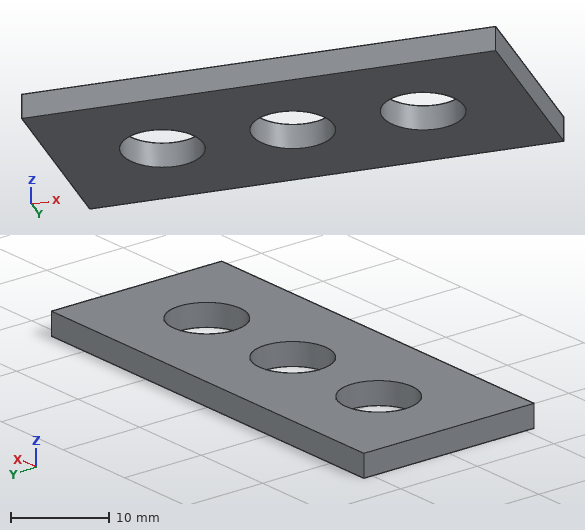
import cadquery as cq

length = 50.8
width = 22.25
thickness = 2.75

hole_count = 3
hole_diameter = 8.75
hole_pitch = 13.95

plate = cq.Workplane("XY").box(length, width, thickness)

result = (
    plate.faces(">Z")
    .workplane()
    .rarray(hole_pitch, 0.5, hole_count, 1)
    .hole(hole_diameter)
)